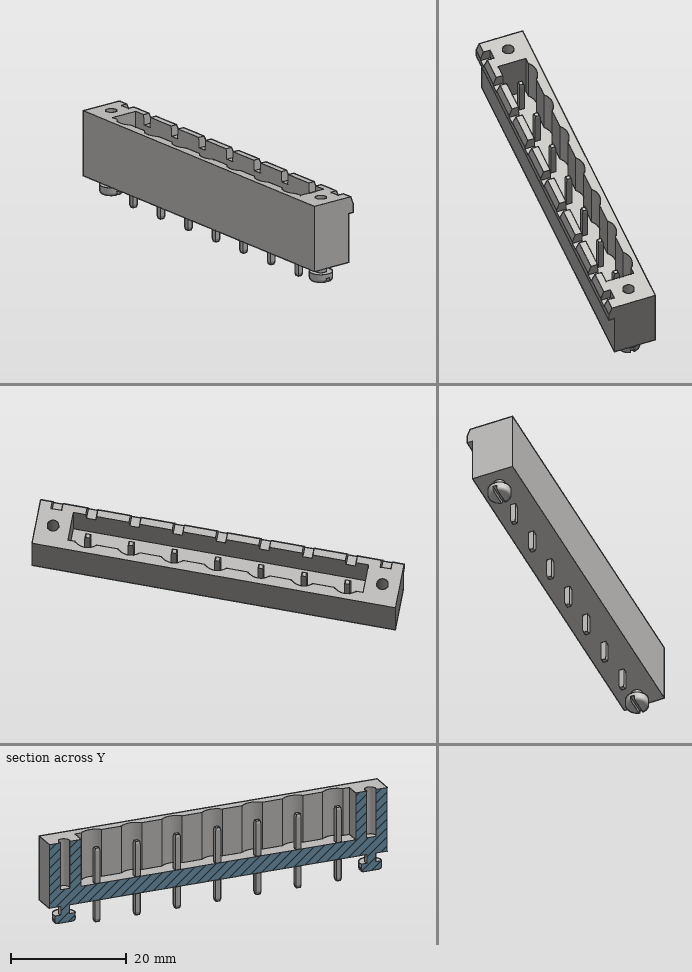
import cadquery as cq

length = 63.9
body_depth = 7.6
total_depth = 8.6
height = 11.95

lip_height = 3.0
lip_bevel_height = 1.5
lip_bevel_depth = 0.6

contact_count = 7
pitch = 7.6
pin_size = 0.95
pin_y = 3.85
pin_bottom = -4.0
pin_top = 9.7
pin_tip_chamfer = 0.1
pin_tip_length = 0.5

end_wall = 6.0
front_wall = 1.7
back_wall = 0.75
floor_thickness = 3.2
lobe_width = 3.85
lobe_bulge = 0.75

notch_top_width = 1.9
notch_floor_width = 1.6
notch_depth = 1.85

screw_inset = 3.0
screw_hole_diameter = 2.0
shank_diameter = 2.0
shank_length = 1.55
head_diameter = 4.0
head_height = 1.6
head_fillet = 0.6
slot_width = 0.7
slot_depth = 0.8

contact_xs = [(i - (contact_count - 1) / 2) * pitch for i in range(contact_count)]
screw_x = length / 2 - screw_inset
screw_xs = [-screw_x, screw_x]
pocket_back = body_depth - back_wall
pocket_depth = height - floor_thickness


def make_housing():
    """Block with an overhanging, bevelled lip at the top of the back."""
    return (
        cq.Workplane("YZ")
        .moveTo(0, 0)
        .lineTo(body_depth, 0)
        .lineTo(body_depth, height - lip_height)
        .lineTo(total_depth, height - lip_height)
        .lineTo(total_depth, height - lip_bevel_height)
        .lineTo(total_depth - lip_bevel_depth, height)
        .lineTo(0, height)
        .close()
        .extrude(length / 2, both=True)
    )


def make_pocket():
    """Open-topped cavity whose front edge bulges at every contact."""
    half_length = length / 2 - end_wall
    outline = cq.Workplane("XY", origin=(0, 0, floor_thickness)).moveTo(-half_length, front_wall)
    for x in contact_xs:
        outline = outline.lineTo(x - lobe_width / 2, front_wall).threePointArc(
            (x, front_wall - lobe_bulge), (x + lobe_width / 2, front_wall)
        )
    return (
        outline.lineTo(half_length, front_wall)
        .lineTo(half_length, pocket_back)
        .lineTo(-half_length, pocket_back)
        .close()
        .extrude(pocket_depth)
    )


def make_notch(x):
    """Tapered cut from the pocket's back face out through the lip."""
    floor_z = height - notch_depth
    return (
        cq.Workplane("XZ", origin=(x, total_depth, 0))
        .moveTo(-notch_floor_width / 2, floor_z)
        .lineTo(notch_floor_width / 2, floor_z)
        .lineTo(notch_top_width / 2, height)
        .lineTo(-notch_top_width / 2, height)
        .close()
        .extrude(total_depth - pocket_back)
    )


def make_pin_tip(z, direction):
    """Short square taper that ends a contact pin at height z."""
    return (
        cq.Workplane("XY", origin=(0, 0, z - direction * pin_tip_length))
        .rect(pin_size, pin_size)
        .workplane(offset=direction * pin_tip_length)
        .rect(pin_size - 2 * pin_tip_chamfer, pin_size - 2 * pin_tip_chamfer)
        .loft(ruled=True)
    )


def make_pin(x):
    """Square contact pin, tapered at both ends."""
    shaft_bottom = pin_bottom + pin_tip_length
    shaft_length = pin_top - pin_tip_length - shaft_bottom
    pin = cq.Workplane("XY", origin=(0, 0, shaft_bottom)).rect(pin_size, pin_size).extrude(shaft_length)
    pin = pin.union(make_pin_tip(pin_top, 1)).union(make_pin_tip(pin_bottom, -1))
    return pin.translate((x, pin_y, 0))


def make_screw(x):
    """Shank and rounded, slotted head below the housing."""
    head_bottom = -shank_length - head_height
    shank = cq.Workplane("XY").circle(shank_diameter / 2).extrude(-shank_length)
    head = (
        cq.Workplane("XY", origin=(0, 0, head_bottom))
        .circle(head_diameter / 2)
        .extrude(head_height)
        .faces("<Z")
        .edges()
        .fillet(head_fillet)
    )
    slot = cq.Workplane("XY", origin=(0, 0, head_bottom)).rect(head_diameter, slot_width).extrude(slot_depth)
    return head.cut(slot).union(shank).translate((x, pin_y, 0))


def make_screw_hole(x):
    """Blind hole in the top of an end block, as deep as the pocket."""
    return cq.Workplane("XY", origin=(x, pin_y, height)).circle(screw_hole_diameter / 2).extrude(-pocket_depth)


result = make_housing().cut(make_pocket())
for x in contact_xs + screw_xs:
    result = result.cut(make_notch(x))
for x in contact_xs:
    result = result.union(make_pin(x))
for x in screw_xs:
    result = result.cut(make_screw_hole(x)).union(make_screw(x))